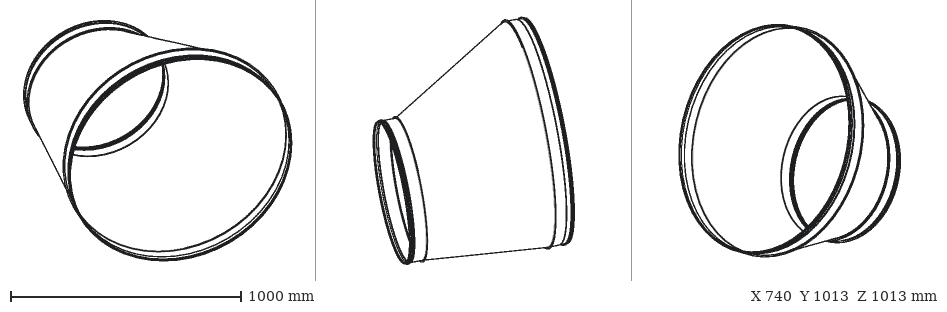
import cadquery as cq


length = 740.0

sheet = 1.0
bend_radius = 2.0

small_sleeve_diameter = 629.0
small_flange_diameter = 643.0
small_seam_distance = 78.0
small_spigot_length = 21.0

large_sleeve_diameter = 999.0
large_flange_diameter = 1013.0
large_seam_distance = 85.0
large_spigot_length = 33.0

spigot_step = 1.5
step_length = 3.0

hem_width = 2.0

gasket_start = 7.0
gasket_lip_start = 11.0
gasket_end = 15.0
gasket_base_height = 3.0
gasket_lip_height = 6.0

neck_length = 4.0

small_center_y = (small_sleeve_diameter - large_sleeve_diameter) / 2


def make_collar(sleeve_diameter, flange_diameter, seam_distance, spigot_length):
    """Collar with its open end at X = 0 and its flange ending at X = seam_distance."""
    sleeve_radius = sleeve_diameter / 2
    spigot_radius = sleeve_radius - spigot_step
    flange_radius = flange_diameter / 2
    flange_face = seam_distance - sheet
    step_end = spigot_length + step_length
    return (
        cq.Workplane("XY")
        .moveTo(0, spigot_radius - sheet)
        .lineTo(0, sleeve_radius)
        .lineTo(hem_width, sleeve_radius)
        .lineTo(hem_width, spigot_radius)
        .lineTo(spigot_length, spigot_radius)
        .lineTo(step_end, sleeve_radius)
        .lineTo(flange_face - bend_radius, sleeve_radius)
        .radiusArc((flange_face, sleeve_radius + bend_radius), -bend_radius)
        .lineTo(flange_face, flange_radius)
        .lineTo(seam_distance, flange_radius)
        .lineTo(seam_distance, sleeve_radius - sheet)
        .lineTo(step_end, sleeve_radius - sheet)
        .lineTo(spigot_length, spigot_radius - sheet)
        .close()
        .revolve(360, (0, 0, 0), (1, 0, 0))
    )


def make_gasket(sleeve_diameter):
    """Gasket ring seated on the spigot of a collar whose open end is at X = 0."""
    seat_radius = sleeve_diameter / 2 - spigot_step
    lip_radius = seat_radius + gasket_lip_height
    return (
        cq.Workplane("XY")
        .moveTo(gasket_start, seat_radius)
        .lineTo(gasket_start, seat_radius + gasket_base_height)
        .lineTo(gasket_lip_start, lip_radius)
        .lineTo(gasket_end, lip_radius)
        .lineTo(gasket_end, seat_radius)
        .close()
        .revolve(360, (0, 0, 0), (1, 0, 0))
    )


def make_taper_end(sleeve_diameter, flange_diameter, seam_distance):
    """Flange and neck of the taper, pressed against a collar whose open end is at X = 0."""
    neck_radius = sleeve_diameter / 2
    flange_radius = flange_diameter / 2
    flange_back = seam_distance + sheet
    neck_end = seam_distance + neck_length
    return (
        cq.Workplane("XY")
        .moveTo(seam_distance, neck_radius - sheet)
        .lineTo(seam_distance, flange_radius)
        .lineTo(flange_back, flange_radius)
        .lineTo(flange_back, neck_radius + bend_radius)
        .radiusArc((flange_back + bend_radius, neck_radius), -bend_radius)
        .lineTo(neck_end, neck_radius)
        .lineTo(neck_end, neck_radius - sheet)
        .close()
        .revolve(360, (0, 0, 0), (1, 0, 0))
    )


def at_small_end(body):
    return body.translate((0, small_center_y, 0))


def at_large_end(body):
    return body.mirror("YZ").translate((length, 0, 0))


def make_eccentric_frustum(wall_inset):
    """Solid taper between the two necks, its circles smaller than the sleeves by wall_inset."""
    along_x = cq.Vector(1, 0, 0)
    small_center = cq.Vector(small_seam_distance + neck_length, small_center_y, 0)
    large_center = cq.Vector(length - large_seam_distance - neck_length, 0, 0)
    small_circle = cq.Wire.makeCircle(small_sleeve_diameter / 2 - wall_inset, small_center, along_x)
    large_circle = cq.Wire.makeCircle(large_sleeve_diameter / 2 - wall_inset, large_center, along_x)
    return cq.Workplane(cq.Solid.makeLoft([small_circle, large_circle], True))


def make_taper():
    sloping_wall = make_eccentric_frustum(0).cut(make_eccentric_frustum(sheet))
    small_end = make_taper_end(small_sleeve_diameter, small_flange_diameter, small_seam_distance)
    large_end = make_taper_end(large_sleeve_diameter, large_flange_diameter, large_seam_distance)
    return sloping_wall.union(at_small_end(small_end)).union(at_large_end(large_end))


taper = make_taper()
small_collar = at_small_end(
    make_collar(small_sleeve_diameter, small_flange_diameter, small_seam_distance, small_spigot_length)
)
large_collar = at_large_end(
    make_collar(large_sleeve_diameter, large_flange_diameter, large_seam_distance, large_spigot_length)
)
small_gasket = at_small_end(make_gasket(small_sleeve_diameter))
large_gasket = at_large_end(make_gasket(large_sleeve_diameter))

result = cq.Compound.makeCompound([
    taper.val(),
    small_collar.val(),
    large_collar.val(),
    small_gasket.val(),
    large_gasket.val(),
])